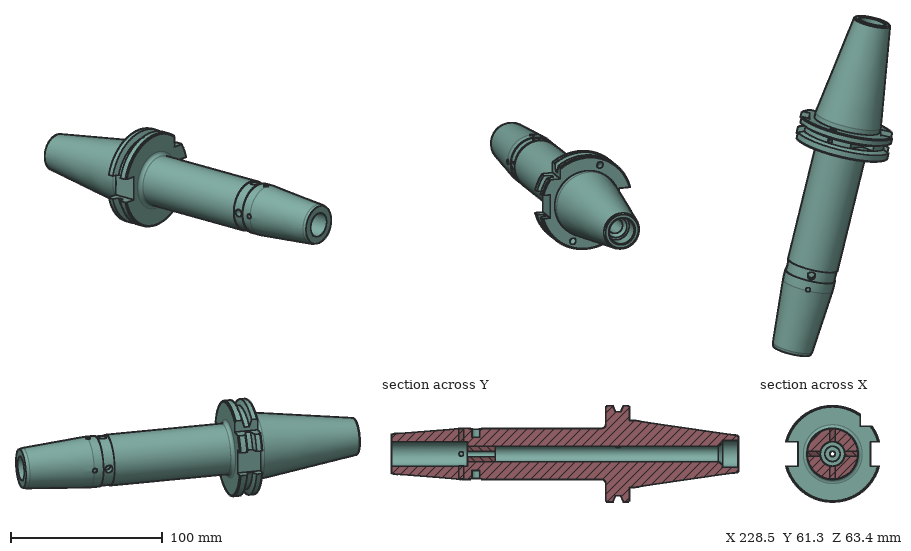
import cadquery as cq
import math


SHANK_RADIUS = 22.2
SHANK_LENGTH = 68.3
SHANK_TAPER = 7 / 24
SHANK_SLOPE = SHANK_TAPER / 2
SHANK_END_CHAMFER = 0.8

FLANGE_START = 71.7
FLANGE_END = 87.5
FLANGE_RADIUS = 31.7
FLANGE_CHAMFER = 0.8
GROOVE_X = 79.3
GROOVE_FLOOR_RADIUS = 27.9
GROOVE_FLOOR_WIDTH = 3.5
GROOVE_MOUTH_WIDTH = 6.6

SLOT_WIDTH = 16.0
FRONT_SLOT_DEPTH_Y = 22.8
BACK_SLOT_DEPTH_Y = 25.1
NOTCH_OFFSET = 18.3
POCKET_WIDTH = 3.2
POCKET_TILT = 33.5
POCKET_FLOOR_OFFSET = 18.7
POCKET_ROOF_OFFSET = 5.7

NECK_RADIUS = 17.0
NECK_FILLET = 2.5
BAND_START = 169.0
BAND_END = 176.5
BAND_RADIUS = 16.5
NOSE_START = 183.2
NOSE_EDGE = 226.1
NOSE_RADIUS = 13.5
NOSE_END_RADIUS = 12.8
TOTAL_LENGTH = 228.5

MOUTH_RADIUS = 8.7
MOUTH_CHAMFER = 0.57
MOUTH_DEPTH = 10.5
CONE_RADIUS = 7.0
CHANNEL_RADIUS = 5.0
CHANNEL_START = 13.2
TOOL_BORE_RADIUS = 8.0
TOOL_BORE_START = 178.4

STOP_LENGTH = 18.3
STOP_HOLE_RADIUS = 1.71

BALANCE_HOLE_X = 173.0
BALANCE_HOLE_RADIUS = 2.5
BALANCE_HOLE_DEPTH = 5.5
NOSE_PLUG_X = 182.5
NOSE_PLUG_RADIUS = 1.48
NOSE_PLUG_TOP = 16.7
CROSS_HOLE_ANGLES = [0, 90, 180, 270]

COOLANT_START_RADIUS = 27.0
COOLANT_HOLE_RADIUS = 2.0
COOLANT_SLANT = 25
COOLANT_ANGLES = [20.5, 200.5]
SCREW_RADIUS = 1.48
SCREW_BOTTOM = 13.7
SCREW_TOP = 20.0

OUTSIDE = 45.7


def turned(points):
    """Solid of revolution about X from (x, radius) points."""
    return cq.Workplane("XY").polyline(points).close().revolve(360, (0, 0, 0), (1, 0, 0))


def radial_cylinder(x, radius, bottom, top, angle):
    """Cylinder pointing away from the axis, turned by angle about X from +Z towards -Y."""
    cylinder = cq.Workplane("XY", origin=(x, 0, bottom)).circle(radius).extrude(top - bottom)
    return cylinder.rotate((0, 0, 0), (1, 0, 0), angle)


def flange_box(y_range, z_range, start=FLANGE_START, end=FLANGE_END):
    """Block over the given y and z ranges, from start to end along X."""
    (y0, y1), (z0, z1) = y_range, z_range
    return cq.Workplane("XY").box(end - start, y1 - y0, z1 - z0, centered=False).translate((start, y0, z0))


def holder_outside():
    small_radius = SHANK_RADIUS - SHANK_LENGTH * SHANK_SLOPE
    floor_half = GROOVE_FLOOR_WIDTH / 2
    mouth_half = GROOVE_MOUTH_WIDTH / 2
    fillet_middle = NECK_FILLET * (1 - math.sqrt(0.5))
    return (
        cq.Workplane("XY")
        .moveTo(0, 0)
        .lineTo(0, small_radius - SHANK_END_CHAMFER)
        .lineTo(SHANK_END_CHAMFER, small_radius + SHANK_END_CHAMFER * SHANK_SLOPE)
        .lineTo(SHANK_LENGTH, SHANK_RADIUS)
        .lineTo(FLANGE_START, SHANK_RADIUS)
        .lineTo(FLANGE_START, FLANGE_RADIUS - FLANGE_CHAMFER)
        .lineTo(FLANGE_START + FLANGE_CHAMFER, FLANGE_RADIUS)
        .lineTo(GROOVE_X - mouth_half, FLANGE_RADIUS)
        .lineTo(GROOVE_X - floor_half, GROOVE_FLOOR_RADIUS)
        .lineTo(GROOVE_X + floor_half, GROOVE_FLOOR_RADIUS)
        .lineTo(GROOVE_X + mouth_half, FLANGE_RADIUS)
        .lineTo(FLANGE_END - FLANGE_CHAMFER, FLANGE_RADIUS)
        .lineTo(FLANGE_END, FLANGE_RADIUS - FLANGE_CHAMFER)
        .lineTo(FLANGE_END, NECK_RADIUS + NECK_FILLET)
        .threePointArc(
            (FLANGE_END + fillet_middle, NECK_RADIUS + fillet_middle),
            (FLANGE_END + NECK_FILLET, NECK_RADIUS),
        )
        .lineTo(BAND_START, NECK_RADIUS)
        .lineTo(BAND_START, BAND_RADIUS)
        .lineTo(BAND_END, BAND_RADIUS)
        .lineTo(BAND_END, NECK_RADIUS)
        .lineTo(NOSE_START, NECK_RADIUS)
        .lineTo(NOSE_EDGE, NOSE_RADIUS)
        .lineTo(TOTAL_LENGTH, NOSE_END_RADIUS)
        .lineTo(TOTAL_LENGTH, 0)
        .close()
        .revolve(360, (0, 0, 0), (1, 0, 0))
    )


def axial_bore():
    return turned([
        (0, 0),
        (0, MOUTH_RADIUS + MOUTH_CHAMFER),
        (MOUTH_CHAMFER, MOUTH_RADIUS),
        (MOUTH_DEPTH, MOUTH_RADIUS),
        (MOUTH_DEPTH, CONE_RADIUS),
        (CHANNEL_START, CHANNEL_RADIUS),
        (TOOL_BORE_START, CHANNEL_RADIUS),
        (TOOL_BORE_START, TOOL_BORE_RADIUS),
        (TOTAL_LENGTH, TOOL_BORE_RADIUS),
        (TOTAL_LENGTH, 0),
    ])


def drive_slots():
    half = SLOT_WIDTH / 2
    front = flange_box((-OUTSIDE, -FRONT_SLOT_DEPTH_Y), (-half, half))
    back = flange_box((BACK_SLOT_DEPTH_Y, OUTSIDE), (-half, half))
    return front.union(back)


def corner_notch():
    return flange_box((NOTCH_OFFSET, OUTSIDE), (NOTCH_OFFSET, OUTSIDE))


def groove_pocket():
    half = POCKET_WIDTH / 2
    pocket = flange_box(
        (-GROOVE_FLOOR_RADIUS, -POCKET_FLOOR_OFFSET),
        (-GROOVE_FLOOR_RADIUS, -POCKET_ROOF_OFFSET),
        GROOVE_X - half,
        GROOVE_X + half,
    )
    return pocket.rotate((0, 0, 0), (1, 0, 0), POCKET_TILT)


def coolant_hole(angle):
    """Hole from the flange face, slanting inwards until it meets the radial hole below the groove."""
    slant = math.radians(COOLANT_SLANT)
    direction = cq.Vector(math.cos(slant), 0, -math.sin(slant))
    length = (GROOVE_X - FLANGE_START) / math.cos(slant)
    lead = 2 * COOLANT_HOLE_RADIUS
    start = cq.Vector(FLANGE_START, 0, COOLANT_START_RADIUS) - direction * lead
    hole = cq.Solid.makeCylinder(COOLANT_HOLE_RADIUS, length + lead, start, direction)
    return cq.Workplane(hole).rotate((0, 0, 0), (1, 0, 0), angle)


def make_holder():
    holder = holder_outside().cut(axial_bore())
    holder = holder.cut(drive_slots()).cut(corner_notch()).cut(groove_pocket())
    for angle in COOLANT_ANGLES:
        holder = holder.cut(coolant_hole(angle))
        holder = holder.cut(radial_cylinder(GROOVE_X, SCREW_RADIUS, 0, FLANGE_RADIUS, angle))
    for angle in CROSS_HOLE_ANGLES:
        bottom = BAND_RADIUS - BALANCE_HOLE_DEPTH
        holder = holder.cut(radial_cylinder(BALANCE_HOLE_X, BALANCE_HOLE_RADIUS, bottom, OUTSIDE, angle))
        holder = holder.cut(radial_cylinder(NOSE_PLUG_X, NOSE_PLUG_RADIUS, 0, OUTSIDE, angle))
    return holder


def make_stop_screw():
    """Hollow screw at the end of the channel, level with the bottom of the tool bore."""
    start = TOOL_BORE_START - STOP_LENGTH
    return turned([
        (start, STOP_HOLE_RADIUS),
        (start, CHANNEL_RADIUS),
        (TOOL_BORE_START, CHANNEL_RADIUS),
        (TOOL_BORE_START, STOP_HOLE_RADIUS),
    ])


def make_coolant_screw(angle):
    return radial_cylinder(GROOVE_X, SCREW_RADIUS, SCREW_BOTTOM, SCREW_TOP, angle)


def make_nose_plug(angle):
    return radial_cylinder(NOSE_PLUG_X, NOSE_PLUG_RADIUS, TOOL_BORE_RADIUS, NOSE_PLUG_TOP, angle)


holder = make_holder()
stop_screw = make_stop_screw()
coolant_screws = [make_coolant_screw(angle).val() for angle in COOLANT_ANGLES]
nose_plugs = [make_nose_plug(angle).val() for angle in CROSS_HOLE_ANGLES]

result = cq.Compound.makeCompound([holder.val(), stop_screw.val(), *coolant_screws, *nose_plugs])